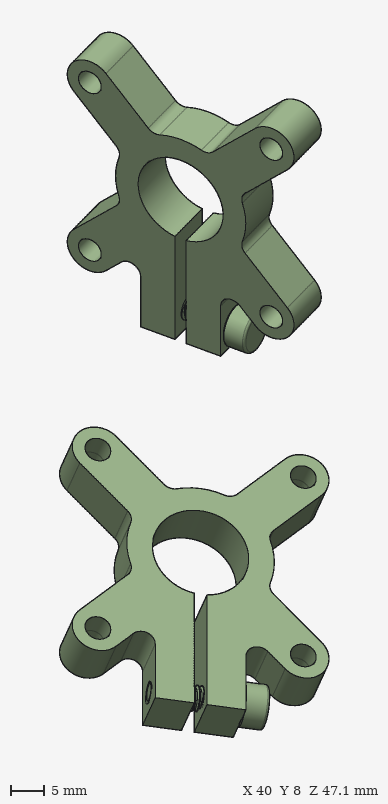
import cadquery as cq
import math


WIDTH = 39.95
HEIGHT = 47.1
THICKNESS = 8.0
LOBE_RADIUS = 4.0
ARM_HOLE_RADIUS = LOBE_RADIUS / 2
LOBE_OFFSET = WIDTH / 2 - LOBE_RADIUS
RING_RADIUS = 11.5
BORE_RADIUS = 7.5
CORNER_RADIUS = 2.0

CLAMP_HALF_WIDTH = 7.05
SLOT_WIDTH = 2.0
CLAMP_BOTTOM = WIDTH / 2 - HEIGHT

HEAD_RADIUS = 3.5
HEAD_LENGTH = 3.9
HEAD_FILLET = 0.4
HEAD_SEAT_CHAMFER = 0.25
THREAD_RADIUS = 2.02
THREAD_PITCH = 0.7
CORE_RADIUS = 1.55
TIP_RADIUS = 1.3
ENVELOPE_RADIUS = THREAD_RADIUS + 0.05
SCREW_Z = CLAMP_BOTTOM + HEAD_RADIUS

RIDGE_ROOT_WIDTH = THREAD_PITCH * 0.8
RIDGE_CREST_WIDTH = THREAD_PITCH / 8
RIDGE_EMBED = 0.1
CREST_X = -0.2
TURNS_EACH_SIDE = 12


def arm(x_side, z_side):
    """Round-ended arm from the bore axis to one corner lobe."""
    length = LOBE_OFFSET * math.sqrt(2)
    angle = math.degrees(math.atan2(z_side, x_side))
    bar = cq.Workplane("XZ").center(length / 2, 0).rect(length, 2 * LOBE_RADIUS)
    lobe = cq.Workplane("XZ").center(length, 0).circle(LOBE_RADIUS)
    flat_arm = bar.extrude(THICKNESS / 2, both=True).union(lobe.extrude(THICKNESS / 2, both=True))
    return flat_arm.rotate((0, 0, 0), (0, 1, 0), -angle)


def corner_selector(x, z):
    """Box around the inner corner near (x, z), through the whole thickness."""
    reach = 0.45
    low_point = (x - reach, -THICKNESS, z - reach)
    high_point = (x + reach, THICKNESS, z + reach)
    return cq.selectors.BoxSelector(low_point, high_point)


def plate():
    """Ring, arms and clamp block, with every inner corner rounded."""
    body = cq.Workplane("XZ").circle(RING_RADIUS).extrude(THICKNESS / 2, both=True)
    for x_side in (-1, 1):
        for z_side in (-1, 1):
            body = body.union(arm(x_side, z_side))
    clamp = cq.Workplane("XY").rect(2 * CLAMP_HALF_WIDTH, THICKNESS).extrude(CLAMP_BOTTOM)
    body = body.union(clamp)

    half_angle = math.asin(LOBE_RADIUS / RING_RADIUS)
    near = RING_RADIUS * math.cos(math.pi / 4 + half_angle)
    far = RING_RADIUS * math.sin(math.pi / 4 + half_angle)
    clamp_corner_z = -CLAMP_HALF_WIDTH - LOBE_RADIUS * math.sqrt(2)
    for side in (-1, 1):
        for x, z in ((near, far), (far, near), (far, -near), (CLAMP_HALF_WIDTH, clamp_corner_z)):
            body = body.edges(corner_selector(side * x, z)).edges("|Y").fillet(CORNER_RADIUS)
    return body


def cylinder_x(radius, x_start, x_end):
    """Cylinder on the screw axis."""
    return cq.Workplane("YZ", origin=(x_start, 0, SCREW_Z)).circle(radius).extrude(x_end - x_start)


def thread_ridge():
    """Right-handed helical ridge, longer at each end than the clamp is wide."""
    start = CREST_X - TURNS_EACH_SIDE * THREAD_PITCH
    root = CORE_RADIUS - RIDGE_EMBED
    helix = cq.Wire.makeHelix(THREAD_PITCH, 2 * TURNS_EACH_SIDE * THREAD_PITCH, root)
    section = (
        cq.Workplane("XZ")
        .moveTo(root, -RIDGE_ROOT_WIDTH / 2)
        .lineTo(THREAD_RADIUS, -RIDGE_CREST_WIDTH / 2)
        .lineTo(THREAD_RADIUS, RIDGE_CREST_WIDTH / 2)
        .lineTo(root, RIDGE_ROOT_WIDTH / 2)
        .close()
    )
    ridge = section.sweep(cq.Workplane(helix), isFrenet=True)
    return ridge.rotate((0, 0, 0), (0, 1, 0), 90).translate((start, 0, SCREW_Z))


def threaded_rod():
    """Threaded rod trimmed square at both faces of the clamp."""
    trim = cylinder_x(2 * THREAD_RADIUS, -CLAMP_HALF_WIDTH, CLAMP_HALF_WIDTH)
    core = cylinder_x(CORE_RADIUS, -CLAMP_HALF_WIDTH, CLAMP_HALF_WIDTH)
    return core.union(thread_ridge().intersect(trim))


def screw_body(rod):
    """Cap screw with a chamfered tip, level with the clamp's -X face."""
    blank = cylinder_x(ENVELOPE_RADIUS, -CLAMP_HALF_WIDTH, CLAMP_HALF_WIDTH)
    blank = blank.faces("<X").chamfer(ENVELOPE_RADIUS - TIP_RADIUS)
    head = cylinder_x(HEAD_RADIUS, CLAMP_HALF_WIDTH, CLAMP_HALF_WIDTH + HEAD_LENGTH)
    head = head.faces(">X").edges().fillet(HEAD_FILLET)
    head = head.faces("<X").chamfer(HEAD_SEAT_CHAMFER)
    return rod.intersect(blank).union(head)


def bracket_body(rod):
    """Plate with its bore, slot, arm holes and tapped clamp hole."""
    body = plate()
    body = body.cut(cq.Workplane("XZ").circle(BORE_RADIUS).extrude(THICKNESS, both=True))
    holes = cq.Workplane("XZ").rect(2 * LOBE_OFFSET, 2 * LOBE_OFFSET, forConstruction=True).vertices()
    body = body.cut(holes.circle(ARM_HOLE_RADIUS).extrude(THICKNESS, both=True))
    slot = cq.Workplane("XY").rect(SLOT_WIDTH, THICKNESS).extrude(CLAMP_BOTTOM)
    body = body.cut(slot)
    return body.cut(rod)


rod = threaded_rod()
bracket = bracket_body(rod)
screw = screw_body(rod)
result = cq.Compound.makeCompound([bracket.solids().val(), screw.solids().val()])